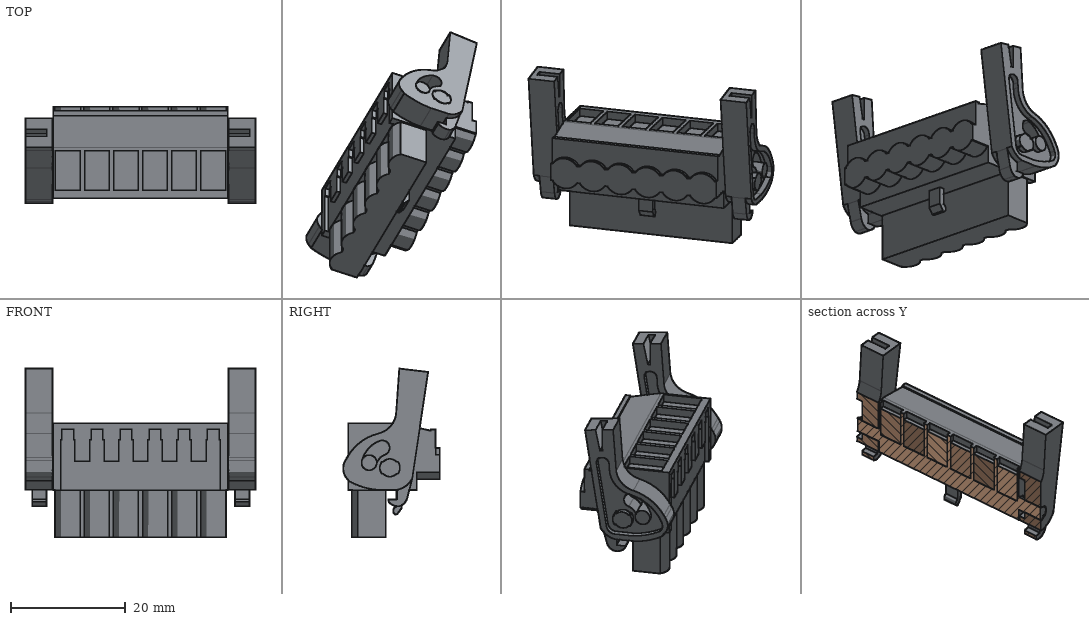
import cadquery as cq
import math


poles = 6
pitch = 5.08
pole_xs = [(i - (poles - 1) / 2) * pitch for i in range(poles)]

housing_length = poles * pitch
housing_height = 11.68
crown_depth = 8.97
slope_end = (14.4, 10.4)
ledge_height = 10.63
rear_wall = 15.28
foot_depth = 12.03

barrel_radius = 2.75
nozzle_root = 11.0
nozzle_end = 16.04
nozzle_axis_height = 4.63
bar_half_height = 1.54

plug_length = 8.27
plug_front = 0.62
plug_bulge = 1.07
plug_back = 6.6
plug_end_margin = 0.1

opening_width = 4.3
opening_front = 1.45
opening_back = 8.3
button_sink = 1.4
button_height = 6.0

comb_depth = 0.7
comb_root_height = 5.05
comb_shoulder_height = 8.8
comb_top_height = 10.6
comb_wide = 2.5
comb_narrow = 2.03

catch_width = 2.55
catch_front = 8.4
catch_back = 9.4
catch_toe_top = -2.9
catch_toe_nose = (7.87, -3.55)
catch_toe_tip = (8.3, -4.3)
catch_toe_heel = (8.6, -4.2)
catch_heel_height = -3.1

overall_length = 40.18
lever_gap = 0.1
lever_width = (overall_length - housing_length) / 2 - lever_gap
lever_starts = [-overall_length / 2, housing_length / 2 + lever_gap]

grip_back_top = (14.0, 20.65)
grip_front_top = (8.93, 21.25)
neck_start = (8.38, 13.5)
neck_end = (5.35, 9.9)
brow_end = (-0.15, 5.75)
tip_start = (-0.48, 5.2)
tip_end = (-0.45, 2.33)
chin_start = (0.1, 1.6)
chin_middle = (2.3, 0.62)
lever_bottom = 0.06
chin_end = 5.2
heel_start = 8.6
heel_middle = (10.2, 0.8)
heel_end = (11.2, 1.97)

lever_pocket_depth = 1.1
pocket_top_height = 14.5
pocket_top_back = 11.95
pocket_top_front = 9.65
pocket_neck_start = (9.6, 13.6)
pocket_neck_middle = (8.62, 10.75)
pocket_neck_end = (6.13, 9.1)
pocket_brow_middle = (2.8, 7.6)
pocket_tip_start = (0.25, 4.4)
pocket_tip_middle = (0.05, 3.6)
pocket_tip_end = (0.55, 2.5)
pocket_chin_middle = (2.9, 1.55)
pocket_bottom = 1.07
pocket_chin_end = 5.5
pocket_heel_start = 8.83
pocket_heel_middle = (9.7, 1.54)
pocket_heel_end = (10.13, 2.4)

grip_slot_depth = 3.75
grip_slot_bottom = 16.95
grip_slot_top = 21.5
grip_slot_front = 10.88
grip_slot_bottom_back = 11.3
grip_slot_top_back = 12.2

hook_offset = 1.16
hook_width = 2.55
hook_back_bottom = (10.4, -1.2)
hook_round_middle = (10.0, -2.1)
hook_round_end = (9.3, -2.7)
hook_sole_middle = (8.0, -2.72)
hook_nose_bottom = (7.1, -2.05)
hook_nose_top = (7.0, -1.63)
hook_stem_front = 8.6

pin_recess = 0.1
pin_length = lever_gap + lever_width - pin_recess
pivot_centre = (7.3, 3.9)
pivot_radius = 1.55
pivot_wing_radius = 1.75
pivot_wing_height = 2.1
guide_centre = (3.68, 4.8)
guide_radius = 1.33
guide_slot_radius = 1.3
guide_slot_sweep = 55


def side_plane(x):
    """Plane facing +X at the given x, drawn in (y, z)."""
    return cq.Workplane("YZ", origin=(x, 0, 0))


def box(x_range, y_range, z_range):
    size = [high - low for low, high in (x_range, y_range, z_range)]
    corner = (x_range[0], y_range[0], z_range[0])
    return cq.Workplane("XY").box(*size, centered=False).translate(corner)


def centred(width, x=0):
    return (x - width / 2, x + width / 2)


def pivot(x, length):
    """Round pivot with a wing on its front and back."""
    centre = side_plane(x).center(*pivot_centre)
    disc = centre.circle(pivot_radius).extrude(length)
    wings = centre.circle(pivot_wing_radius).extrude(length)
    band = centre.rect(2 * pivot_wing_radius, pivot_wing_height).extrude(length)
    return disc.union(wings.intersect(band))


def guide_pin(x, length):
    return side_plane(x).center(*guide_centre).circle(guide_radius).extrude(length)


def pins(x, length):
    return pivot(x, length).union(guide_pin(x, length))


def housing_block():
    outline = [
        (0, 0), (foot_depth, 0), (foot_depth, nozzle_axis_height), (rear_wall, nozzle_axis_height),
        (rear_wall, ledge_height), (slope_end[0], ledge_height), slope_end,
        (crown_depth, housing_height), (0, housing_height),
    ]
    return side_plane(-housing_length / 2).polyline(outline).close().extrude(housing_length)


def nozzles():
    bar_bottom = nozzle_axis_height - bar_half_height
    bar_top = nozzle_axis_height + bar_half_height
    depth = (nozzle_root, nozzle_end)
    row = box(centred(housing_length), depth, (bar_bottom, bar_top))
    for x in pole_xs:
        plane = cq.Workplane("XZ", origin=(x, nozzle_end, nozzle_axis_height))
        row = row.union(plane.circle(barrel_radius).extrude(nozzle_end - nozzle_root))
    return row.intersect(box(centred(housing_length), depth, (0, housing_height)))


def plug_row():
    bar_front = plug_front + plug_bulge
    half_chord = math.sqrt(barrel_radius**2 - (barrel_radius - plug_bulge) ** 2)
    half_length = pole_xs[-1] + half_chord + plug_end_margin
    row = cq.Workplane("XY").moveTo(-half_length, bar_front)
    for x in pole_xs:
        row = row.lineTo(x - half_chord, bar_front)
        row = row.threePointArc((x, plug_front), (x + half_chord, bar_front))
    row = row.lineTo(half_length, bar_front).lineTo(half_length, plug_back).lineTo(-half_length, plug_back)
    return row.close().extrude(-plug_length)


def comb_recess():
    y_range = (0, comb_depth)
    outer_width = (poles - 1) * pitch + comb_wide
    recess = box(centred(outer_width), y_range, (0, comb_root_height))
    for x in pole_xs:
        recess = recess.union(box(centred(comb_wide, x), y_range, (0, comb_shoulder_height)))
        recess = recess.union(box(centred(comb_narrow, x), y_range, (0, comb_top_height)))
    return recess


def catch():
    """Arm hanging from the underside, with a slanted rounded toe pointing forward."""
    return (
        side_plane(-catch_width / 2)
        .moveTo(catch_front, 0)
        .lineTo(catch_front, catch_toe_top)
        .threePointArc(catch_toe_nose, catch_toe_tip)
        .lineTo(*catch_toe_heel)
        .lineTo(catch_back, catch_heel_height)
        .lineTo(catch_back, 0)
        .close()
        .extrude(catch_width)
    )


def opening_block(x, top):
    """Block filling one opening from the foot of its button up to the given height."""
    bottom = housing_height - button_sink - button_height
    return box(centred(opening_width, x), (opening_front, opening_back), (bottom, top))


def make_housing():
    housing = housing_block().union(nozzles()).union(plug_row()).cut(comb_recess()).union(catch())
    for x in pole_xs:
        housing = housing.cut(opening_block(x, housing_height))
    half = housing_length / 2
    return housing.union(pins(half, pin_length)).union(pins(-half, -pin_length))


def make_button(x):
    return opening_block(x, housing_height - button_sink)


def lever_plate(x):
    return (
        side_plane(x)
        .moveTo(*grip_back_top)
        .lineTo(*grip_front_top)
        .lineTo(*neck_start)
        .tangentArcPoint(neck_end, relative=False)
        .tangentArcPoint(brow_end, relative=False)
        .lineTo(*tip_start)
        .tangentArcPoint(tip_end, relative=False)
        .lineTo(*chin_start)
        .threePointArc(chin_middle, (chin_end, lever_bottom))
        .lineTo(heel_start, lever_bottom)
        .threePointArc(heel_middle, heel_end)
        .close()
        .extrude(lever_width)
    )


def lever_pocket(x):
    top_centre = (pocket_top_back + pocket_top_front) / 2
    top_radius = (pocket_top_back - pocket_top_front) / 2
    return (
        side_plane(x)
        .moveTo(pocket_top_back, pocket_top_height)
        .threePointArc((top_centre, pocket_top_height + top_radius), (pocket_top_front, pocket_top_height))
        .lineTo(*pocket_neck_start)
        .threePointArc(pocket_neck_middle, pocket_neck_end)
        .threePointArc(pocket_brow_middle, pocket_tip_start)
        .threePointArc(pocket_tip_middle, pocket_tip_end)
        .threePointArc(pocket_chin_middle, (pocket_chin_end, pocket_bottom))
        .lineTo(pocket_heel_start, pocket_bottom)
        .threePointArc(pocket_heel_middle, pocket_heel_end)
        .close()
        .extrude(lever_pocket_depth)
    )


def grip_slot(x):
    outline = [
        (grip_slot_top_back, grip_slot_top), (grip_slot_bottom_back, grip_slot_bottom),
        (grip_slot_front, grip_slot_bottom), (grip_slot_front, grip_slot_top),
    ]
    return side_plane(x).polyline(outline).close().extrude(grip_slot_depth)


def guide_slot(x):
    """Round-ended slot that lets the lever turn past the guide pin."""
    dy = guide_centre[0] - pivot_centre[0]
    dz = guide_centre[1] - pivot_centre[1]
    swing = math.hypot(dy, dz)
    start = math.atan2(dz, dy)
    end = start - math.radians(guide_slot_sweep)
    middle = (start + end) / 2

    def at(radius, angle):
        return (pivot_centre[0] + radius * math.cos(angle), pivot_centre[1] + radius * math.sin(angle))

    outer = swing + guide_slot_radius
    inner = swing - guide_slot_radius
    band = (
        side_plane(x)
        .moveTo(*at(outer, start))
        .threePointArc(at(outer, middle), at(outer, end))
        .lineTo(*at(inner, end))
        .threePointArc(at(inner, middle), at(inner, start))
        .close()
        .extrude(lever_width)
    )
    far_end = side_plane(x).center(*at(swing, end)).circle(guide_slot_radius).extrude(lever_width)
    return band.union(far_end)


def lever_hook(x):
    return (
        side_plane(x + hook_offset)
        .moveTo(*heel_end)
        .lineTo(*hook_back_bottom)
        .threePointArc(hook_round_middle, hook_round_end)
        .threePointArc(hook_sole_middle, hook_nose_bottom)
        .lineTo(*hook_nose_top)
        .lineTo(hook_stem_front, hook_nose_top[1])
        .lineTo(hook_stem_front, heel_end[1])
        .close()
        .extrude(hook_width)
    )


def make_lever(x):
    lever = lever_plate(x).union(lever_hook(x))
    lever = lever.cut(lever_pocket(x)).cut(grip_slot(x)).cut(guide_slot(x))
    return lever.cut(pins(x, lever_width))


housing = make_housing()
buttons = [make_button(x) for x in pole_xs]
levers = [make_lever(x) for x in lever_starts]

result = cq.Compound.makeCompound(
    [housing.val(), *[item.val() for item in buttons], *[item.val() for item in levers]]
)